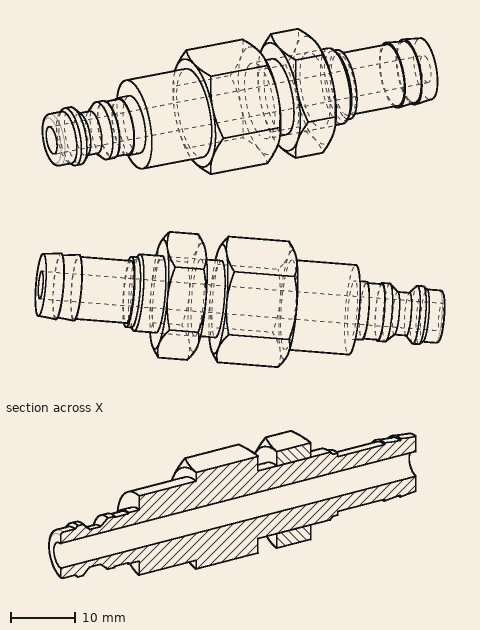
import cadquery as cq
import math

across_flats = 17.0
across_corners = across_flats / math.cos(math.radians(30))
hex_chamfer_angle = 30.0

tip_radius = 4.1
tip_rounding = 0.5
tip_end = 2.5
collar_radius = 4.55
front_collar_start = 3.1
front_collar_end = 4.05
waist_radius = 3.35
waist_start = 5.15
waist_end = 7.05
rear_collar_start = 8.4
rear_collar_end = 9.6
relief_radius = 4.35
relief_end = 12.05

body_radius = 7.0
body_start = 13.9
body_hex_start = 24.0
body_hex_end = 35.0

shank_radius = 6.0
shank_end = 47.8
nut_start = 38.3
nut_end = 44.35
shoulder_radius = 5.5
shoulder_start = 48.25
shoulder_end = 49.15

tail_radius = 4.85
barb_radius = 5.15
inner_barb = 57.4
outer_barb = 60.2
total_length = 63.0

bore_radius = 2.15


def cylinder(radius, start, end):
    """Cylinder along Y between two stations."""
    return cq.Workplane("XZ", origin=(0, start, 0)).circle(radius).extrude(start - end)


def chamfered_hex(start, end):
    """Hexagonal prism along Y with its corners turned off at both ends."""
    prism = cq.Workplane("XZ", origin=(0, start, 0)).polygon(6, across_corners).extrude(start - end)
    face_radius = across_flats / 2
    corner_radius = across_corners / 2
    chamfer_depth = (corner_radius - face_radius) * math.tan(math.radians(hex_chamfer_angle))
    turned_envelope = (
        cq.Workplane("XY")
        .polyline([
            (0, start),
            (face_radius, start),
            (corner_radius, start + chamfer_depth),
            (corner_radius, end - chamfer_depth),
            (face_radius, end),
            (0, end),
        ])
        .close()
        .revolve(360, (0, 0, 0), (0, 1, 0))
    )
    return prism.intersect(turned_envelope)


def make_turned_body():
    """Solid of revolution from the plug tip to the hose tail."""
    rounding_reach = tip_rounding * math.sin(math.radians(45))
    rounding_middle = (
        tip_radius - tip_rounding + rounding_reach,
        tip_rounding - rounding_reach,
    )
    return (
        cq.Workplane("XY")
        .moveTo(0, 0)
        .lineTo(tip_radius - tip_rounding, 0)
        .threePointArc(rounding_middle, (tip_radius, tip_rounding))
        .lineTo(tip_radius, tip_end)
        .lineTo(collar_radius, front_collar_start)
        .lineTo(collar_radius, front_collar_end)
        .lineTo(waist_radius, waist_start)
        .lineTo(waist_radius, waist_end)
        .lineTo(collar_radius, rear_collar_start)
        .lineTo(collar_radius, rear_collar_end)
        .lineTo(relief_radius, rear_collar_end)
        .lineTo(relief_radius, relief_end)
        .lineTo(collar_radius, relief_end)
        .lineTo(collar_radius, body_start)
        .lineTo(body_radius, body_start)
        .lineTo(body_radius, body_hex_end)
        .lineTo(shank_radius, body_hex_end)
        .lineTo(shank_radius, shank_end)
        .lineTo(shoulder_radius, shoulder_start)
        .lineTo(shoulder_radius, shoulder_end)
        .lineTo(tail_radius, shoulder_end)
        .lineTo(tail_radius, inner_barb)
        .lineTo(barb_radius, inner_barb)
        .lineTo(tail_radius, outer_barb)
        .lineTo(barb_radius, outer_barb)
        .lineTo(tail_radius, total_length)
        .lineTo(0, total_length)
        .close()
        .revolve(360, (0, 0, 0), (0, 1, 0))
    )


def make_fitting():
    """Turned body with its hexagon and through bore."""
    outside = make_turned_body().union(chamfered_hex(body_hex_start, body_hex_end))
    return outside.cut(cylinder(bore_radius, 0, total_length))


def make_lock_nut():
    """Hexagonal nut that fits on the shank."""
    return chamfered_hex(nut_start, nut_end).cut(cylinder(shank_radius, nut_start, nut_end))


fitting = make_fitting()
lock_nut = make_lock_nut()

result = cq.Compound.makeCompound([fitting.solids().val(), lock_nut.solids().val()])